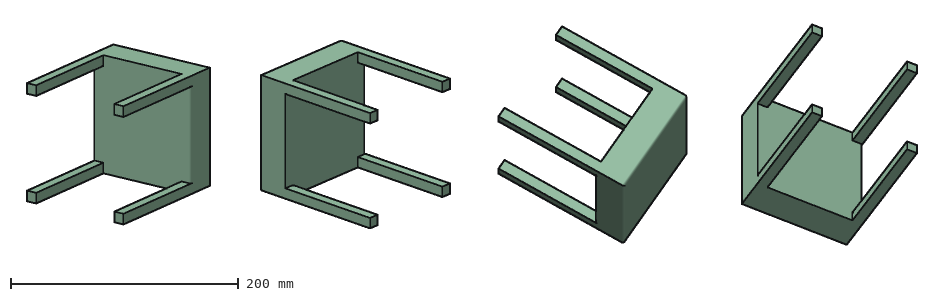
import cadquery as cq

width = 105.0
length = 130.0
height = 110.0

seat_thickness = 30.0
leg_side = 10.0
edge_radius = 2.1

leg_length = length - seat_thickness


def make_seat():
    """Block with its front face at Y = leg_length and its back (+Y) rim rounded."""
    block = cq.Workplane("XY").box(width, seat_thickness, height)
    block = block.translate((0, leg_length + seat_thickness / 2, 0))
    return block.faces(">Y").edges().fillet(edge_radius)


def make_legs():
    """Four square legs from Y = 0 to the seat, flush with its corners."""
    return (
        cq.Workplane("XZ")
        .rect(width - leg_side, height - leg_side, forConstruction=True)
        .vertices()
        .rect(leg_side, leg_side)
        .extrude(-leg_length)
    )


def round_front_edge(stool):
    """Round the front +X edge of the seat between the two legs there."""
    edge_point = (width / 2, leg_length, 0)
    front_edge = cq.selectors.NearestToPointSelector(edge_point)
    return stool.edges(front_edge).fillet(edge_radius)


result = round_front_edge(make_seat().union(make_legs()))